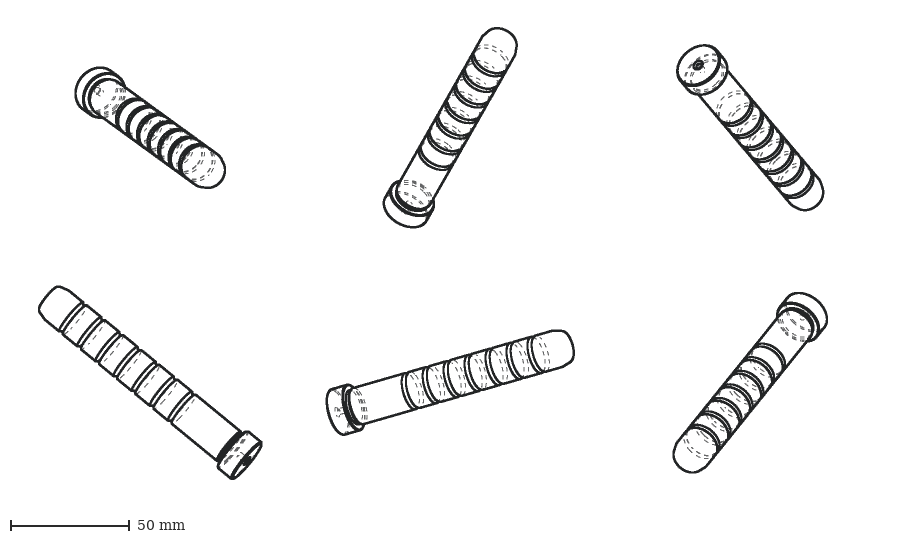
import cadquery as cq
import math

length = 110.0
head_diameter = 20.0
shaft_diameter = 16.0
neck_diameter = 15.0
groove_diameter = 14.6

head_length = 8.0
front_chamfer = 0.4
back_chamfer = 0.3

neck_length = 2.0
neck_flat = 1.3

groove_count = 7
groove_pitch = 10.0
groove_width = 2.0
first_groove_start = 35.0

taper_length = 5.1
taper_angle = 15
taper_blend_radius = 1.2
tip_radius = 2.0

centre_mouth_diameter = 4.3
centre_drill_diameter = 2.5
centre_drill_depth = 4.4
sink_angle = 90
drill_point_angle = 120

head_radius = head_diameter / 2
shaft_radius = shaft_diameter / 2
neck_radius = neck_diameter / 2
groove_radius = groove_diameter / 2


def pin_body():
    """Revolve the half outline about the X axis: head, neck, grooved shaft and tip."""
    outline = (
        cq.Workplane("XY")
        .lineTo(0, head_radius - front_chamfer)
        .lineTo(front_chamfer, head_radius)
        .lineTo(head_length - back_chamfer, head_radius)
        .lineTo(head_length, head_radius - back_chamfer)
        .lineTo(head_length, neck_radius)
        .lineTo(head_length + neck_flat, neck_radius)
        .lineTo(head_length + neck_length, shaft_radius)
    )

    for index in range(groove_count):
        start = first_groove_start + index * groove_pitch
        middle = start + groove_width / 2
        end = start + groove_width
        outline = outline.lineTo(start, shaft_radius)
        outline = outline.threePointArc((middle, groove_radius), (end, shaft_radius))

    slope = math.radians(taper_angle)
    taper_start = length - taper_length
    blend_reach = taper_blend_radius * math.tan(slope / 2)
    blend_end = (
        taper_start + blend_reach * math.cos(slope),
        shaft_radius - blend_reach * math.sin(slope),
    )

    tip_arc_x = length - tip_radius + tip_radius * math.sin(slope)
    tip_arc_y = shaft_radius - (tip_arc_x - taper_start) * math.tan(slope)
    end_face_radius = tip_arc_y - tip_radius * math.cos(slope)

    outline = (
        outline.lineTo(taper_start - blend_reach, shaft_radius)
        .tangentArcPoint(blend_end, relative=False)
        .lineTo(tip_arc_x, tip_arc_y)
        .tangentArcPoint((length, end_face_radius), relative=False)
        .lineTo(length, 0)
        .close()
    )
    return outline.revolve(360, (0, 0, 0), (1, 0, 0))


def centre_hole():
    """Countersunk blind hole with a conical bottom, along the X axis."""
    mouth_radius = centre_mouth_diameter / 2
    drill_radius = centre_drill_diameter / 2
    sink_depth = (mouth_radius - drill_radius) / math.tan(math.radians(sink_angle / 2))
    point_depth = drill_radius / math.tan(math.radians(drill_point_angle / 2))
    return (
        cq.Workplane("XY")
        .lineTo(0, mouth_radius)
        .lineTo(sink_depth, drill_radius)
        .lineTo(centre_drill_depth, drill_radius)
        .lineTo(centre_drill_depth + point_depth, 0)
        .close()
        .revolve(360, (0, 0, 0), (1, 0, 0))
    )


result = pin_body().cut(centre_hole())